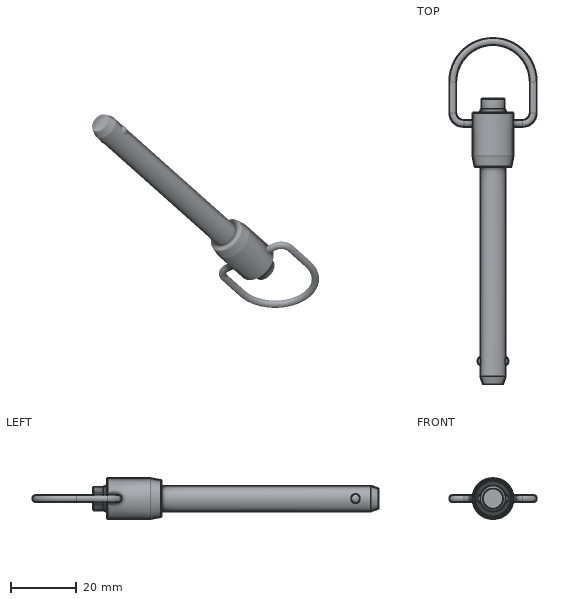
import cadquery as cq
import math

overall_length = 106.6

shank_radius = 8.0 / 2
tip_radius = 3.1
tip_taper_length = 2.5

ball_radius = 1.5
ball_reach = 4.8
ball_y = 7.1

body_radius = 12.7 / 2
body_end_radius = 5.8
body_bottom_y = 66.7
body_taper_length = 3.5
body_top_y = 83.7
edge_chamfer = 0.3

button_radius = 7.4 / 2
button_top_y = 88.0
button_collar_radius = 4.2
button_flare_length = 1.1

ring_width = 27.0
wire_radius = 2.2 / 2
ring_bend_radius = 3.3
ring_base_y = 80.3


def make_pin():
    """Revolve the shank, body and button about the Y axis."""
    return (
        cq.Workplane("XY")
        .moveTo(0, 0)
        .lineTo(tip_radius, 0)
        .lineTo(shank_radius, tip_taper_length)
        .lineTo(shank_radius, body_bottom_y)
        .lineTo(body_end_radius - edge_chamfer, body_bottom_y)
        .lineTo(body_end_radius, body_bottom_y + edge_chamfer)
        .lineTo(body_radius, body_bottom_y + body_taper_length)
        .lineTo(body_radius, body_top_y - edge_chamfer)
        .lineTo(body_radius - edge_chamfer, body_top_y)
        .lineTo(button_collar_radius, body_top_y)
        .lineTo(button_radius, body_top_y + button_flare_length)
        .lineTo(button_radius, button_top_y - edge_chamfer)
        .lineTo(button_radius - edge_chamfer, button_top_y)
        .lineTo(0, button_top_y)
        .close()
        .revolve(360, (0, 0, 0), (0, 1, 0))
    )


def make_ball(side):
    """Ball protruding from the shank toward -X (side -1) or +X (side 1)."""
    ball_x = side * (ball_reach - ball_radius)
    return cq.Workplane("XY").sphere(ball_radius).translate((ball_x, ball_y, 0))


def make_ring():
    """Sweep the round wire along the open ring, from one body side to the other."""
    half_width = ring_width / 2 - wire_radius
    arc_start_y = overall_length - wire_radius - half_width
    bend_top_y = ring_base_y + ring_bend_radius
    bend_x = half_width - ring_bend_radius
    bend_offset = ring_bend_radius * math.sqrt(0.5)
    bend_mid_x = bend_x + bend_offset
    bend_mid_y = bend_top_y - bend_offset
    wire_end_x = body_radius / 2

    path = (
        cq.Workplane("XY")
        .moveTo(-wire_end_x, ring_base_y)
        .lineTo(-bend_x, ring_base_y)
        .threePointArc((-bend_mid_x, bend_mid_y), (-half_width, bend_top_y))
        .lineTo(-half_width, arc_start_y)
        .threePointArc((0, arc_start_y + half_width), (half_width, arc_start_y))
        .lineTo(half_width, bend_top_y)
        .threePointArc((bend_mid_x, bend_mid_y), (bend_x, ring_base_y))
        .lineTo(wire_end_x, ring_base_y)
    )
    wire_start = cq.Workplane("YZ", origin=(-wire_end_x, ring_base_y, 0))
    return wire_start.circle(wire_radius).sweep(path)


result = make_pin().union(make_ring())
for side in (-1, 1):
    result = result.union(make_ball(side))